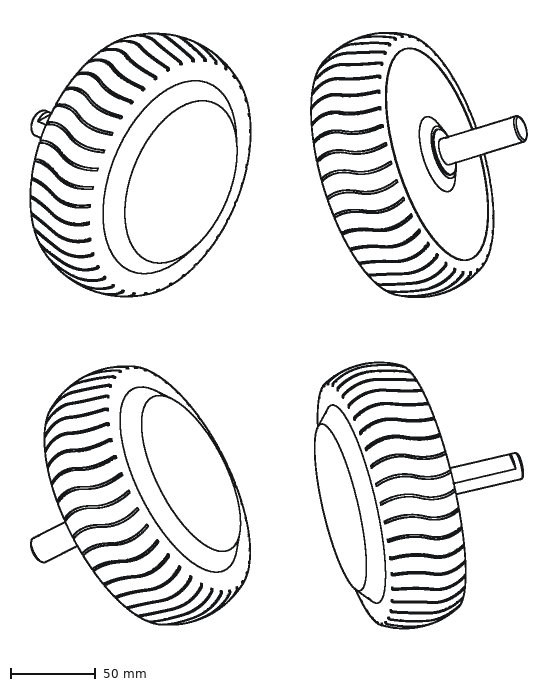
import cadquery as cq
import math


shaft_radius = 8.0
shaft_chamfer = 1.0
keyway_start = 4.5
keyway_length = 43.0
keyway_depth = 3.0

collar_start = 51.0
collar_radius = 14.0
boss_start = 51.8
boss_radius = 16.0
boss_base_radius = 23.0
disc_start = 56.0
disc_radius = 65.0
cover_end = 111.0
cover_base_radius = 60.0
cover_end_radius = 50.5

tyre_start = 56.5
tyre_width = 45.7
tyre_radius = 79.37
crown_radius = 46.0
shoulder_fillet = 2.0
tyre_end = tyre_start + tyre_width
tyre_middle = tyre_start + tyre_width / 2
crown_centre = tyre_radius - crown_radius

groove_count = 40
groove_width = 1.5
groove_depth = 1.0
wave_height = 3.0
crest_offset = 12.5
groove_overrun = 1.0
wave_radius = (crest_offset**2 + wave_height**2) / (2 * wave_height)
groove_half_length = tyre_width / 2 + groove_overrun


def crown_height(offset, radius):
    """Distance from the axis of a crown arc, at an axial offset from mid-width."""
    return crown_centre + math.sqrt(radius**2 - offset**2)


def wave(offset):
    """Sideways position of the groove centreline, at an axial offset from mid-width."""
    drop = wave_radius - math.sqrt(wave_radius**2 - (abs(offset) - crest_offset)**2)
    return -math.copysign(wave_height - drop, offset)


def revolve_about_axis(profile):
    """Close a half profile along the wheel axis and revolve it."""
    return profile.close().revolve(360, (0, 0, 0), (1, 0, 0))


def crowned_drum(half_width, radius):
    """Solid of revolution centred on mid-width, with a crowned outer surface."""
    edge = crown_height(half_width, radius)
    profile = (
        cq.Workplane("XY")
        .moveTo(tyre_middle - half_width, 0)
        .lineTo(tyre_middle - half_width, edge)
        .threePointArc((tyre_middle, crown_centre + radius), (tyre_middle + half_width, edge))
        .lineTo(tyre_middle + half_width, 0)
    )
    return revolve_about_axis(profile)


def make_hub():
    """Shaft, collar, conical boss, disc and tapered far cover in one revolved body."""
    profile = (
        cq.Workplane("XY")
        .moveTo(0, 0)
        .lineTo(0, shaft_radius - shaft_chamfer)
        .lineTo(shaft_chamfer, shaft_radius)
        .lineTo(collar_start, shaft_radius)
        .lineTo(collar_start, collar_radius)
        .lineTo(boss_start, collar_radius)
        .lineTo(boss_start, boss_radius)
        .lineTo(disc_start, boss_base_radius)
        .lineTo(disc_start, disc_radius)
        .lineTo(tyre_middle, disc_radius)
        .lineTo(tyre_middle, cover_base_radius)
        .lineTo(tyre_end, cover_base_radius)
        .lineTo(cover_end, cover_end_radius)
        .lineTo(cover_end, 0)
    )
    return revolve_about_axis(profile)


def make_keyway():
    """Cutter that leaves a flat floor across the top of the shaft."""
    cutter = cq.Workplane("XY").box(
        keyway_length, 2 * shaft_radius, keyway_depth, centered=(False, True, False)
    )
    return cutter.translate((keyway_start, 0, shaft_radius - keyway_depth))


def groove_edge(side):
    """Points of one groove edge: both ends, both crests and the inflection."""
    offsets = (-groove_half_length, -crest_offset, 0, crest_offset, groove_half_length)
    return [(tyre_middle + offset, wave(offset) + side * groove_width / 2) for offset in offsets]


def make_groove():
    """Cutter for the groove at the top of the tyre."""
    upper = groove_edge(1)
    lower = groove_edge(-1)
    ribbon = (
        cq.Workplane("XY")
        .moveTo(*upper[0])
        .threePointArc(upper[1], upper[2])
        .threePointArc(upper[3], upper[4])
        .lineTo(*lower[4])
        .threePointArc(lower[3], lower[2])
        .threePointArc(lower[1], lower[0])
        .close()
        .extrude(tyre_radius + groove_overrun)
    )
    floor = crowned_drum(groove_half_length + groove_overrun, crown_radius - groove_depth)
    return ribbon.cut(floor)


def make_tyre():
    """Crowned tyre with rounded shoulders and evenly spaced tread grooves."""
    tyre = crowned_drum(tyre_width / 2, crown_radius)
    tyre = tyre.edges("%CIRCLE").edges(cq.selectors.RadiusNthSelector(-1)).fillet(shoulder_fillet)
    groove = make_groove().val()
    pitch = 360 / groove_count
    grooves = [groove.rotate((0, 0, 0), (1, 0, 0), i * pitch) for i in range(groove_count)]
    return tyre.newObject([tyre.val().cut(*grooves)])


result = make_tyre().union(make_hub()).cut(make_keyway())